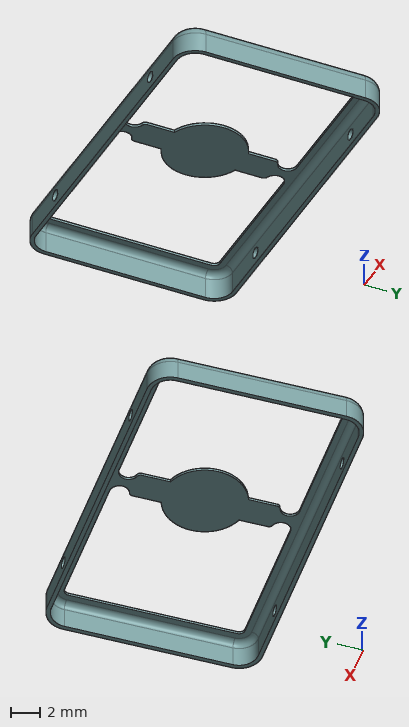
import cadquery as cq

length = 25.6
width = 15.5
height = 2.3
corner_radius = 1.7
top_edge_radius = 0.8

plate_thickness = 0.2
rim_width = 1.25
window_corner_radius = corner_radius - rim_width
window_length = length - 2 * rim_width
window_width = width - 2 * rim_width

wall_thickness = 0.3
cavity_corner_radius = corner_radius - wall_thickness
cavity_edge_radius = top_edge_radius - wall_thickness

disc_diameter = 6.0
strip_width = 2.1
notch_radius = 0.7
strip_corner_radius = 0.3

hole_diameter = 0.8
hole_spacing = 15.0
hole_height = 0.9


def rounded_block(size_x, size_y, size_z, radius):
    """Block standing on Z = 0 with rounded vertical edges."""
    block = cq.Workplane("XY").box(size_x, size_y, size_z, centered=(True, True, False))
    return block.edges("|Z").fillet(radius)


def make_shell():
    """Rounded cover, hollow underneath and closed by the top plate."""
    body = rounded_block(length, width, height, corner_radius)
    body = body.faces(">Z").edges().fillet(top_edge_radius)
    cavity = rounded_block(
        length - 2 * wall_thickness,
        width - 2 * wall_thickness,
        height - plate_thickness,
        cavity_corner_radius,
    )
    cavity = cavity.faces(">Z").edges().fillet(cavity_edge_radius)
    return body.cut(cavity)


def make_strip():
    """Strip and disc that stay between the windows, narrowed to a neck at both ends."""
    notch_spacing = window_width - 2 * notch_radius
    notches = (
        cq.Workplane("XY")
        .rect(strip_width, notch_spacing, forConstruction=True)
        .vertices()
        .circle(notch_radius)
        .extrude(height)
    )
    strip = cq.Workplane("XY").rect(strip_width, window_width).extrude(height).cut(notches)
    corner_y = notch_spacing / 2 - notch_radius
    reach = strip_corner_radius
    corner_zone = cq.selectors.BoxSelector(
        (-strip_width, -corner_y - reach, 0),
        (strip_width, corner_y + reach, height),
    )
    strip = strip.edges("|Z").edges(corner_zone).fillet(strip_corner_radius)
    disc = cq.Workplane("XY").circle(disc_diameter / 2).extrude(height)
    return strip.union(disc)


def make_pin_holes():
    """Round holes running along Y through both long walls."""
    return (
        cq.Workplane("XZ")
        .pushPoints([(-hole_spacing / 2, hole_height), (hole_spacing / 2, hole_height)])
        .circle(hole_diameter / 2)
        .extrude(width, both=True)
    )


opening = rounded_block(window_length, window_width, height, window_corner_radius)
windows = opening.cut(make_strip())
result = make_shell().cut(windows).cut(make_pin_holes())